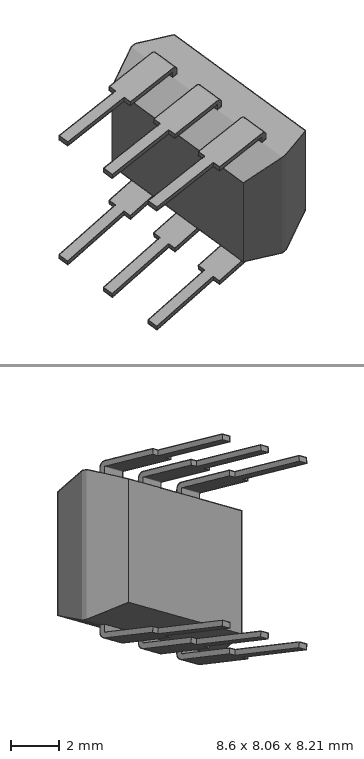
import cadquery as cq
import math

BODY_WIDTH = 8.6
BODY_DEPTH = 3.8
BODY_HEIGHT = 6.4
TOTAL_DEPTH = 8.06
TOTAL_HEIGHT = 8.21
DRAFT_INSET = 0.56

LEADS_PER_ROW = 3
LEAD_PITCH = 2.54
LEAD_THICKNESS = 0.25
WIDE_WIDTH = 1.2
NARROW_WIDTH = 0.5
SHOULDER_DISTANCE = 2.56
INNER_RADIUS = 0.035
OUTER_RADIUS = INNER_RADIUS + LEAD_THICKNESS
SPLAY = math.radians(3.0)

BAND_HALF = LEAD_THICKNESS / 2
BODY_TOP = BODY_HEIGHT / 2
TIP_Y = BODY_DEPTH / 2 - TOTAL_DEPTH
BEND_Y = BAND_HALF - OUTER_RADIUS
TIP_DISTANCE = (BEND_Y - TIP_Y + INNER_RADIUS * math.sin(SPLAY)) / math.cos(SPLAY)
BEND_Z = TOTAL_HEIGHT / 2 - TIP_DISTANCE * math.sin(SPLAY) - OUTER_RADIUS * math.cos(SPLAY)


def make_body():
    """Moulded body: a thin straight band with a tapered block on each side."""
    taper_depth = BODY_DEPTH / 2 - BAND_HALF
    taper = math.degrees(math.atan(DRAFT_INSET / taper_depth))
    band = cq.Workplane("XZ").rect(BODY_WIDTH, BODY_HEIGHT).extrude(BAND_HALF, both=True)
    front = (
        cq.Workplane("XZ", origin=(0, -BAND_HALF, 0))
        .rect(BODY_WIDTH, BODY_HEIGHT)
        .extrude(taper_depth, taper=taper)
    )
    back = front.mirror("XZ")
    return band.union(front).union(back)


def bend_point(distance, radius, angle):
    """(Y, Z) at a radius from the bend centre, then a distance along the direction
    square to that radius. The angle is the lean of the radius from +Z towards +Y."""
    y = BEND_Y - distance * math.cos(angle) + radius * math.sin(angle)
    z = BEND_Z + distance * math.sin(angle) + radius * math.cos(angle)
    return (y, z)


def make_lead(x):
    """Upper-row lead: riser on the body, bend, wide plate and narrow pin."""
    mid_bend = (SPLAY + math.pi / 2) / 2
    wide = (
        cq.Workplane("YZ")
        .moveTo(-BAND_HALF, BODY_TOP)
        .lineTo(BAND_HALF, BODY_TOP)
        .lineTo(BAND_HALF, BEND_Z)
        .threePointArc(bend_point(0, OUTER_RADIUS, mid_bend), bend_point(0, OUTER_RADIUS, SPLAY))
        .lineTo(*bend_point(SHOULDER_DISTANCE, OUTER_RADIUS, SPLAY))
        .lineTo(*bend_point(SHOULDER_DISTANCE, INNER_RADIUS, SPLAY))
        .lineTo(*bend_point(0, INNER_RADIUS, SPLAY))
        .threePointArc(bend_point(0, INNER_RADIUS, mid_bend), (-BAND_HALF, BEND_Z))
        .close()
        .extrude(WIDE_WIDTH / 2, both=True)
    )
    narrow = (
        cq.Workplane("YZ")
        .polyline([
            bend_point(SHOULDER_DISTANCE, OUTER_RADIUS, SPLAY),
            bend_point(TIP_DISTANCE, OUTER_RADIUS, SPLAY),
            bend_point(TIP_DISTANCE, INNER_RADIUS, SPLAY),
            bend_point(SHOULDER_DISTANCE, INNER_RADIUS, SPLAY),
        ])
        .close()
        .extrude(NARROW_WIDTH / 2, both=True)
    )
    return wide.union(narrow).translate((x, 0, 0))


body = make_body()

leads = []
for index in range(LEADS_PER_ROW):
    lead_x = (index - (LEADS_PER_ROW - 1) / 2) * LEAD_PITCH
    upper_lead = make_lead(lead_x)
    lower_lead = upper_lead.mirror("XY")
    leads.append(upper_lead.val())
    leads.append(lower_lead.val())

result = cq.Compound.makeCompound([body.val(), *leads])